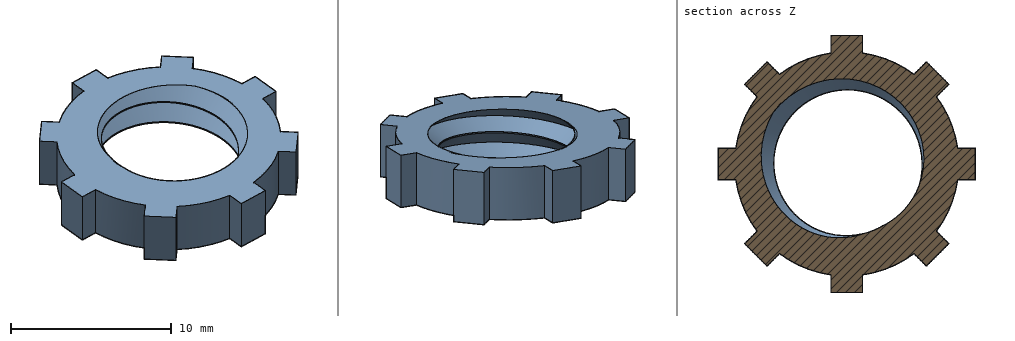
import cadquery as cq
import math

tip_radius = 8.0
body_radius = 6.98
height = 3.45
tooth_count = 8
tooth_width = 1.99

crest_radius = 4.15
pitch = 1.84
widening = 0.3
thread_depth = 1.15
crest_flat = 0.06
crest_trim = 0.02
upper_flank_share = 0.41
crest_angle = -92.0
turns_above = 1
turns = 4
bore_clearance = 0.8

taper_angle = math.degrees(math.atan(widening / pitch))


def crest_radius_at(depth):
    return crest_radius + widening * depth / pitch


def toothed_ring():
    ring = cq.Workplane("XY").circle(body_radius).extrude(height)
    for index in range(tooth_count):
        tooth = (
            cq.Workplane("XY")
            .center(tip_radius - tooth_width / 2, 0)
            .rect(tooth_width, tooth_width)
            .extrude(height)
            .rotate((0, 0, 0), (0, 0, 1), index * 360 / tooth_count)
        )
        ring = ring.union(tooth)
    return ring


def tapered_bore():
    """Cone through the crests, with Z measured as depth below the top face."""
    top_radius = crest_radius + crest_trim
    bottom_radius = crest_radius_at(height) + crest_trim
    return (
        cq.Workplane("XZ")
        .polyline([(0, 0), (top_radius, 0), (bottom_radius, height), (0, height)])
        .close()
        .revolve(360, (0, 0, 0), (0, 1, 0))
    )


def thread_groove():
    """Conical helical groove, with Z measured as depth below the top face."""
    start = -turns_above * pitch
    start_radius = crest_radius_at(start)
    upper_edge = start + crest_flat / 2
    lower_edge = start + pitch - crest_flat / 2
    root = start + pitch * (1 - upper_flank_share)
    inner_radius = start_radius - bore_clearance
    path_pitch = pitch / math.cos(math.radians(taper_angle))
    path = cq.Wire.makeHelix(path_pitch, turns * path_pitch, start_radius, angle=taper_angle)
    return (
        cq.Workplane("XZ")
        .moveTo(inner_radius, upper_edge)
        .lineTo(crest_radius_at(upper_edge), upper_edge)
        .lineTo(crest_radius_at(root) + thread_depth, root)
        .lineTo(crest_radius_at(lower_edge), lower_edge)
        .lineTo(inner_radius, lower_edge)
        .close()
        .sweep(cq.Workplane(path.translate(cq.Vector(0, 0, start))), isFrenet=True)
    )


def placed(cutter):
    """Turn depth into height and set the direction of the thread start."""
    return (
        cutter.rotate((0, 0, 0), (1, 0, 0), 180)
        .translate((0, 0, height))
        .rotate((0, 0, 0), (0, 0, 1), crest_angle)
    )


result = toothed_ring().cut(placed(thread_groove())).cut(placed(tapered_bore()))